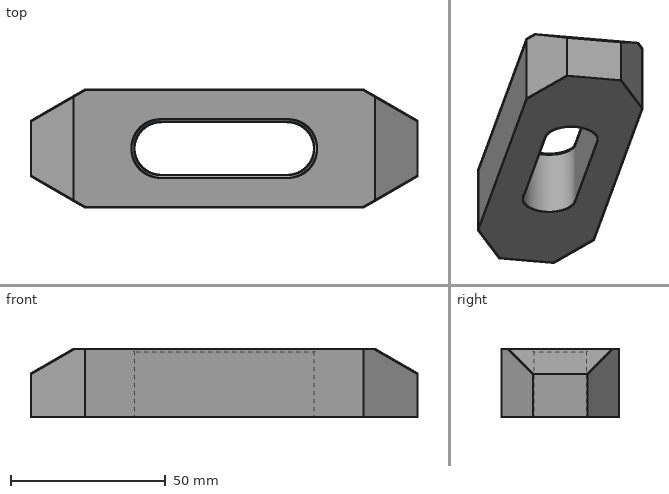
import cadquery as cq
import math

length = 125.0
width = 38.0
height = 22.0

taper_angle = math.radians(30)
nose_width = 17.8
nose_height = 14.0
side_taper_length = (width - nose_width) / 2 / math.tan(taper_angle)
top_taper_length = (height - nose_height) / math.tan(taper_angle)

slot_length = 58.0
slot_width = 17.0
slot_chamfer = 1.0
slot_chamfer_angle = 45


def plan_prism():
    """Bar with both ends narrowed in plan, standing on Z = 0."""
    half_straight = length / 2 - side_taper_length
    outline = [
        (-length / 2, -nose_width / 2),
        (-half_straight, -width / 2),
        (half_straight, -width / 2),
        (length / 2, -nose_width / 2),
        (length / 2, nose_width / 2),
        (half_straight, width / 2),
        (-half_straight, width / 2),
        (-length / 2, nose_width / 2),
    ]
    return cq.Workplane("XY").polyline(outline).close().extrude(height)


def side_prism():
    """Side profile whose top slopes down to both noses."""
    half_top = length / 2 - top_taper_length
    outline = [
        (-length / 2, 0),
        (length / 2, 0),
        (length / 2, nose_height),
        (half_top, height),
        (-half_top, height),
        (-length / 2, nose_height),
    ]
    return cq.Workplane("XZ").polyline(outline).close().extrude(width / 2, both=True)


def slot_cutter():
    """Through slot, widened by a chamfer at the top edge."""
    slot = cq.Workplane("XY").slot2D(slot_length, slot_width).extrude(height)
    flare = (
        cq.Workplane("XY", origin=(0, 0, height))
        .slot2D(slot_length + 2 * slot_chamfer, slot_width + 2 * slot_chamfer)
        .extrude(-slot_chamfer, taper=slot_chamfer_angle)
    )
    return slot.union(flare)


result = plan_prism().intersect(side_prism()).cut(slot_cutter())